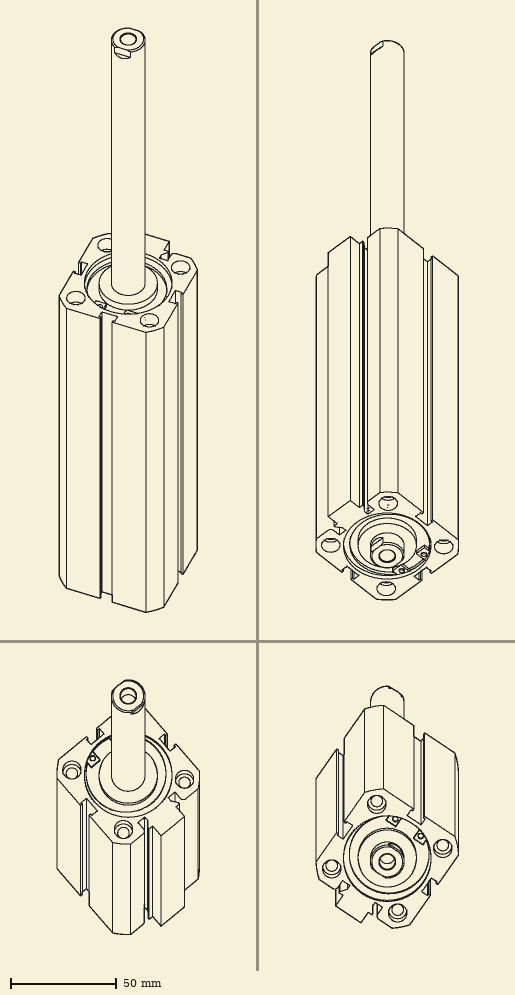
import cadquery as cq
import math

barrel_width = 54.0
barrel_length = 191.3
half_width = barrel_width / 2
corner_radius = 34.0

rail_reach = 33.0
rail_width = 14.5
rail_lip_width = 19.0
rail_lip_edge = 0.7
rail_lip_taper = 3.0
shoulder_height = 26.5
rail_neck_bottom = 20.8
rail_pocket_width = 23.0
shoulder_fillet = 2.0

slot_mouth_width = 6.2
slot_inner_width = 8.0
slot_lip = 1.0
slot_depth = 4.5

bolt_spacing = 38.0
bolt_hole_diameter = 5.5
bolt_counterbore_diameter = 8.8
bolt_counterbore_depth = 7.3

bore_radius = 20.8
ring_thickness = 2.0
ring_recess = 2.5
ring_groove_depth = 1.0
ring_outer_radius = bore_radius + ring_groove_depth
ring_bottom = barrel_length - ring_recess - ring_thickness
ring_inner_radius = 19.0
ring_inner_offset = 1.65
ring_gap_width = 10.2
ear_width = 6.5
ear_inner_reach = 14.5
ear_hole_diameter = 2.5
ear_hole_y = -17.5
ear_x = 7.3
boss_radius = 14.0
boss_recess = 0.5
collar_length = 29.2

rod_radius = 8.0
rod_top_reach = 166.5
rod_length = 365.0
rod_top = barrel_length + rod_top_reach
rod_bottom = rod_top - rod_length
flat_spacing = 14.0
flat_length = 5.5
rod_chamfer = 0.7
tap_diameter = 7.3
tap_depth = 13.0
tap_tip_angle = 118
tap_chamfer = 0.5


def cylinder(radius, bottom, height):
    return cq.Workplane("XY").workplane(offset=bottom).circle(radius).extrude(height)


def block(width, depth, height, x=0.0, y=0.0, bottom=0.0):
    box = cq.Workplane("XY").box(width, depth, height, centered=(True, True, False))
    return box.translate((x, y, bottom))


def make_t_slot():
    """T-slot cutter for the -Y face."""
    mouth = block(slot_mouth_width, 2 * slot_lip, barrel_length, y=-half_width)
    inner_depth = slot_depth - slot_lip
    inner = block(slot_inner_width, inner_depth, barrel_length, y=-half_width + slot_lip + inner_depth / 2)
    return mouth.union(inner)


def make_rail():
    """Raised rail whose two lips taper back to its neck."""
    neck = rail_width / 2
    lip = rail_lip_width / 2
    edge_bottom = shoulder_height - rail_lip_edge
    right_side = [
        (neck, rail_neck_bottom),
        (neck, edge_bottom - rail_lip_taper),
        (lip, edge_bottom),
        (lip, shoulder_height),
        (neck, shoulder_height),
        (neck, rail_reach),
    ]
    left_side = [(-x, y) for x, y in reversed(right_side)]
    return cq.Workplane("XY").polyline(right_side + left_side).close().extrude(barrel_length)


def cut_bore(barrel):
    """Through bore with a retaining-ring groove near each end."""
    barrel = barrel.cut(cylinder(bore_radius, 0, barrel_length))
    for bottom in (ring_recess, ring_bottom):
        barrel = barrel.cut(cylinder(ring_outer_radius, bottom, ring_thickness))
    return barrel


def bolt_cylinders(diameter, bottom, height):
    plane = cq.Workplane("XY").workplane(offset=bottom)
    corners = plane.rect(bolt_spacing, bolt_spacing, forConstruction=True).vertices()
    return corners.circle(diameter / 2).extrude(height)


def cut_bolt_holes(barrel):
    """Four through holes, counterbored at both ends."""
    barrel = barrel.cut(bolt_cylinders(bolt_hole_diameter, 0, barrel_length))
    for bottom in (0, barrel_length - bolt_counterbore_depth):
        barrel = barrel.cut(bolt_cylinders(bolt_counterbore_diameter, bottom, bolt_counterbore_depth))
    return barrel


def make_barrel():
    """Barrel with rounded corners, mounting rail, T-slots, bore and bolt holes."""
    depth = half_width + shoulder_height
    square = block(barrel_width, depth, barrel_length, y=shoulder_height - depth / 2)
    barrel = square.intersect(cylinder(corner_radius, 0, barrel_length))
    pocket_depth = shoulder_height - rail_neck_bottom
    pocket_y = shoulder_height - pocket_depth / 2
    barrel = barrel.cut(block(rail_pocket_width, pocket_depth, barrel_length, y=pocket_y))
    for side in (-1, 1):
        edge_middle = (side * rail_pocket_width / 2, shoulder_height, barrel_length / 2)
        pocket_edge = cq.selectors.NearestToPointSelector(edge_middle)
        barrel = barrel.edges("|Z").edges(pocket_edge).fillet(shoulder_fillet)
    barrel = barrel.union(make_rail())
    for angle in (-90, 0, 90):
        barrel = barrel.cut(make_t_slot().rotate((0, 0, 0), (0, 0, 1), angle))
    barrel = cut_bore(barrel)
    return cut_bolt_holes(barrel)


def make_ring():
    """Top retaining ring: eccentric opening, a gap on the -Y side and an ear at each end of the gap."""
    outer = cylinder(ring_outer_radius, ring_bottom, ring_thickness)
    opening = cylinder(ring_inner_radius, ring_bottom, ring_thickness)
    ring = outer.cut(opening.translate((0, -ring_inner_offset, 0)))
    ear_depth = ring_outer_radius - ear_inner_reach
    ear_middle_y = -ear_inner_reach - ear_depth / 2
    for side in (-1, 1):
        ear = block(ear_width, ear_depth, ring_thickness, side * ear_x, ear_middle_y, ring_bottom)
        ring = ring.union(ear.intersect(outer))
    ring = ring.cut(block(ring_gap_width, ear_depth, ring_thickness, 0, ear_middle_y, ring_bottom))
    for side in (-1, 1):
        hole = cylinder(ear_hole_diameter / 2, ring_bottom, ring_thickness)
        ring = ring.cut(hole.translate((side * ear_x, ear_hole_y, 0)))
    return ring


def make_collar():
    """Top rod collar: it fills the bore up to the ring, and its boss stands inside the ring."""
    collar = cylinder(bore_radius, ring_bottom - collar_length, collar_length)
    boss_height = barrel_length - boss_recess - ring_bottom
    collar = collar.union(cylinder(boss_radius, ring_bottom, boss_height))
    return collar.cut(cylinder(rod_radius, 0, barrel_length))


def make_flat():
    """Cutter for one wrench flat at the rod's top end, with a 45 degree run-out."""
    flat_y = flat_spacing / 2
    run_out = rod_radius - flat_y
    profile = cq.Workplane("YZ").polyline([
        (flat_y, rod_top),
        (flat_y, rod_top - flat_length + run_out),
        (rod_radius, rod_top - flat_length),
        (rod_radius, rod_top),
    ])
    return profile.close().extrude(rod_radius, both=True)


def make_tap_hole():
    """Cutter for the drilled hole at the rod's top end."""
    radius = tap_diameter / 2
    tip_depth = radius / math.tan(math.radians(tap_tip_angle / 2))
    profile = cq.Workplane("XZ").polyline([
        (0, rod_top),
        (radius + tap_chamfer, rod_top),
        (radius, rod_top - tap_chamfer),
        (radius, rod_top - tap_depth),
        (0, rod_top - tap_depth - tip_depth),
    ])
    return profile.close().revolve(360, (0, 0, 0), (0, 1, 0))


def make_rod():
    """Rod through both collars, with two wrench flats and a tapped hole at each end."""
    rod = cylinder(rod_radius, rod_bottom, rod_length).faces("<Z or >Z").chamfer(rod_chamfer)
    middle = (0, 0, (rod_bottom + rod_top) / 2)
    for cutter in (make_flat(), make_flat().mirror("XZ"), make_tap_hole()):
        rod = rod.cut(cutter).cut(cutter.mirror("XY", middle))
    return rod


barrel = make_barrel()
rod = make_rod()

barrel_middle = (0, 0, barrel_length / 2)
collars = []
rings = []
for at_bottom in (False, True):
    collar = make_collar()
    ring = make_ring()
    collars.append(collar.mirror("XY", barrel_middle) if at_bottom else collar)
    rings.append(ring.mirror("XY", barrel_middle) if at_bottom else ring)

result = cq.Compound.makeCompound([
    barrel.val(),
    rod.val(),
    *[collar.val() for collar in collars],
    *[ring.val() for ring in rings],
])